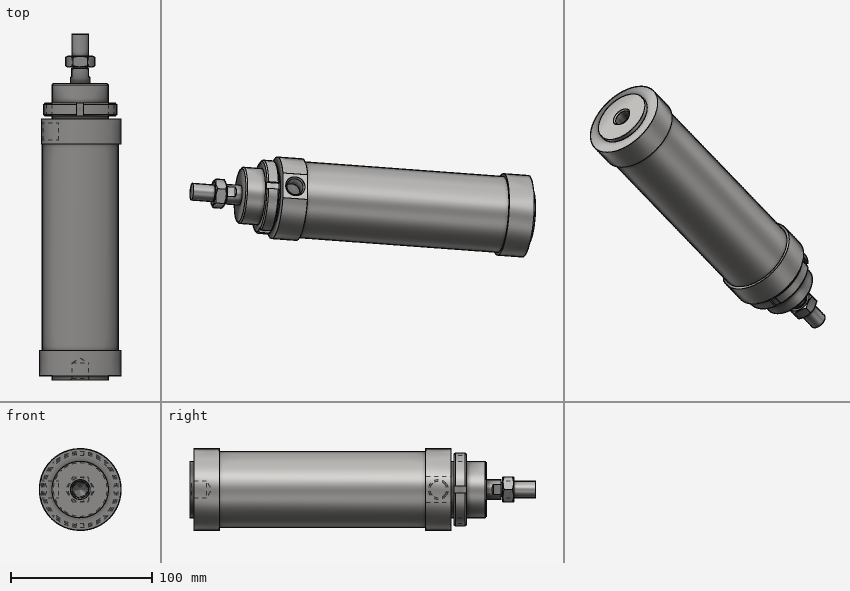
import cadquery as cq
import math


rear_boss_length = 3.0
cap_length = 18.0
tube_length = 146.0
front_boss_length = 25.0
overall_length = 245.0

cap_diameter = 58.0
tube_diameter = 54.0
boss_diameter = 40.0
boss_chamfer = 1.0
port_flat_width = 18.5

port_diameter = 11.8
port_mouth_diameter = 14.0
mouth_angle = 45.0
port_depth = 12.0
rear_hole_depth = 12.0
drill_tip_angle = 118.0

ring_nut_diameter = 52.0
ring_nut_length = 9.0
ring_nut_gap = 2.0
ring_nut_chamfer = 1.0
spanner_slot_width = 5.0
spanner_slot_depth = 2.0
spanner_slot_count = 4

rod_diameter = 14.0
rod_flat_width = 12.0
rod_flat_length = 5.5
thread_diameter = 12.0
neck_diameter = 10.0
neck_length = 1.5
shank_length = 10.5

rod_nut_width = 18.0
rod_nut_length = 8.0
rod_nut_gap = 1.0
hexagon_sides = 6
rod_nut_end_diameter = 17.1
rod_nut_chamfer_angle = 30.0

rear_cap_start = rear_boss_length
tube_start = rear_cap_start + cap_length
front_cap_start = tube_start + tube_length
front_cap_end = front_cap_start + cap_length
boss_end = front_cap_end + front_boss_length
ring_nut_start = front_cap_end + ring_nut_gap
neck_start = boss_end + shank_length
thread_start = neck_start + neck_length
rod_nut_start = neck_start + rod_nut_gap


def round_bar(diameter, start, length):
    """Round bar centred on the Y axis, from Y = start to start + length."""
    plane = cq.Workplane("XZ", origin=(0, start, 0))
    return plane.circle(diameter / 2).extrude(-length)


def turned(points):
    """Solid of revolution about Y from (radius, y) points."""
    return cq.Workplane("XY").polyline(points).close().revolve(360, (0, 0, 0), (0, 1, 0))


def make_rear_hole():
    """Blind hole in the rear end with a countersunk mouth and a drill-point bottom."""
    radius = port_diameter / 2
    mouth_radius = port_mouth_diameter / 2
    mouth_depth = (mouth_radius - radius) / math.tan(math.radians(mouth_angle))
    tip_length = radius / math.tan(math.radians(drill_tip_angle / 2))
    return turned([
        (0, 0),
        (mouth_radius, 0),
        (radius, mouth_depth),
        (radius, rear_hole_depth),
        (0, rear_hole_depth + tip_length),
    ])


def cut_air_port(body):
    """Flat on the -X side of the front cap with a flat-bottomed, countersunk port."""
    cap_radius = cap_diameter / 2
    port_y = front_cap_start + cap_length / 2
    flat_x = -math.sqrt(cap_radius**2 - (port_flat_width / 2) ** 2)
    beyond_flat = cq.Workplane("XY").box(cap_radius, cap_length, cap_diameter)
    beyond_flat = beyond_flat.translate((flat_x - cap_radius / 2, port_y, 0))
    port_plane = cq.Workplane("YZ", origin=(flat_x, port_y, 0))
    port = port_plane.circle(port_diameter / 2).extrude(port_depth)
    mouth_depth = (port_mouth_diameter - port_diameter) / 2 / math.tan(math.radians(mouth_angle))
    mouth = port_plane.circle(port_mouth_diameter / 2).extrude(mouth_depth, taper=mouth_angle)
    return body.cut(beyond_flat).cut(port).cut(mouth)


def make_housing():
    front_boss = round_bar(boss_diameter, front_cap_end, front_boss_length)
    front_boss = front_boss.faces(">Y").chamfer(boss_chamfer)
    body = (
        round_bar(boss_diameter, 0, rear_boss_length)
        .union(round_bar(cap_diameter, rear_cap_start, cap_length))
        .union(round_bar(tube_diameter, tube_start, tube_length))
        .union(round_bar(cap_diameter, front_cap_start, cap_length))
        .union(front_boss)
    )
    return cut_air_port(body.cut(make_rear_hole()))


def make_ring_nut():
    """Round nut with spanner slots around its rim."""
    nut = round_bar(ring_nut_diameter, ring_nut_start, ring_nut_length)
    nut = nut.faces("<Y or >Y").chamfer(ring_nut_chamfer)
    nut = nut.cut(round_bar(boss_diameter, ring_nut_start, ring_nut_length))
    slot = cq.Workplane("XY").box(2 * spanner_slot_depth, ring_nut_length, spanner_slot_width)
    slot = slot.translate((ring_nut_diameter / 2, ring_nut_start + ring_nut_length / 2, 0))
    for index in range(spanner_slot_count):
        angle = index * 360 / spanner_slot_count
        nut = nut.cut(slot.rotate((0, 0, 0), (0, 1, 0), angle))
    return nut


def make_rod():
    """Rod with two wrench flats that run out at 45 degrees, a thread undercut and a threaded end."""
    shank = round_bar(rod_diameter, boss_end, shank_length)
    surface_x = rod_diameter / 2
    flat_x = rod_flat_width / 2
    flat_end = neck_start - rod_flat_length
    runout_end = flat_end - (surface_x - flat_x)
    flat = cq.Workplane("XY").polyline([
        (flat_x, neck_start),
        (flat_x, flat_end),
        (surface_x, runout_end),
        (surface_x, neck_start),
    ]).close().extrude(rod_diameter / 2, both=True)
    shank = shank.cut(flat).cut(flat.mirror("YZ"))
    neck = round_bar(neck_diameter, neck_start, neck_length)
    thread = round_bar(thread_diameter, thread_start, overall_length - thread_start)
    return shank.union(neck).union(thread)


def make_rod_nut():
    """Hexagon nut with its corners on the X axis and both ends chamfered."""
    corner_diameter = rod_nut_width / math.cos(math.pi / hexagon_sides)
    hexagon = cq.Workplane("XZ", origin=(0, rod_nut_start, 0))
    hexagon = hexagon.polygon(hexagon_sides, corner_diameter).extrude(-rod_nut_length)
    face_radius = rod_nut_end_diameter / 2
    corner_radius = corner_diameter / 2
    drop = (corner_radius - face_radius) * math.tan(math.radians(rod_nut_chamfer_angle))
    rod_nut_end = rod_nut_start + rod_nut_length
    envelope = turned([
        (0, rod_nut_start),
        (face_radius, rod_nut_start),
        (corner_radius, rod_nut_start + drop),
        (corner_radius, rod_nut_end - drop),
        (face_radius, rod_nut_end),
        (0, rod_nut_end),
    ])
    bore = round_bar(thread_diameter, rod_nut_start, rod_nut_length)
    return hexagon.intersect(envelope).cut(bore)


housing = make_housing()
ring_nut = make_ring_nut()
rod = make_rod()
rod_nut = make_rod_nut()

result = cq.Compound.makeCompound([housing.val(), ring_nut.val(), rod.val(), rod_nut.val()])